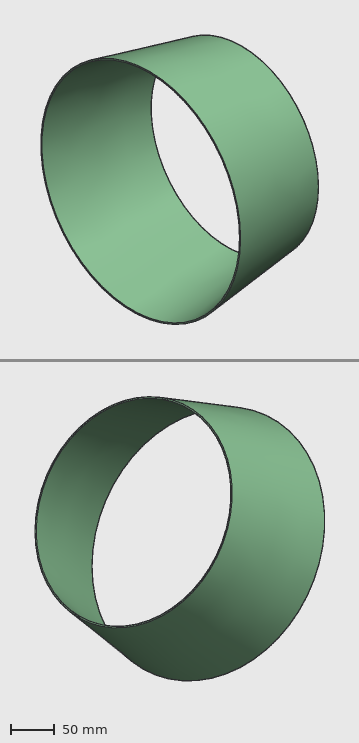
import cadquery as cq

large_diameter = 324.0
small_diameter = 273.0
length = 152.0
wall = 2.0

large_radius = large_diameter / 2
small_radius = small_diameter / 2
wide_end = -length / 2
narrow_end = length / 2

wall_section = (
    cq.Workplane("XY")
    .moveTo(large_radius - wall, wide_end)
    .lineTo(large_radius, wide_end)
    .lineTo(small_radius, narrow_end)
    .lineTo(small_radius - wall, narrow_end)
    .close()
)

result = wall_section.revolve(360, (0, 0, 0), (0, 1, 0))